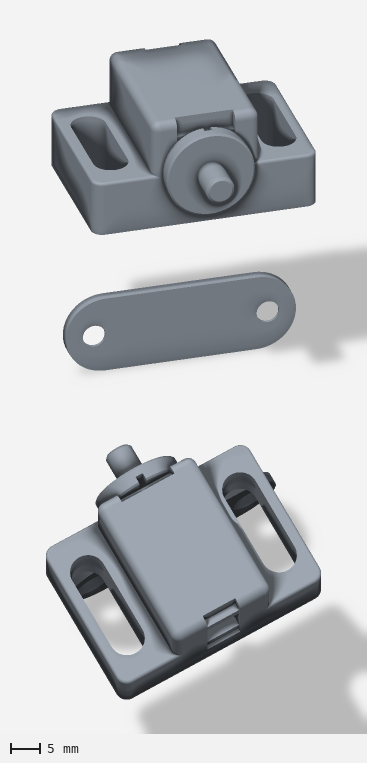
import cadquery as cq


HOUSING_LENGTH = 28.0
HOUSING_HEIGHT = 20.0
BASE_WIDTH = 40.0
BASE_HEIGHT = 10.0
BASE_CORNER_RADIUS = 2.0
BASE_TOP_FILLET = 0.5
TOWER_WIDTH = 19.0
TOWER_FILLET = 1.5

SLOT_LENGTH = 19.6
SLOT_DIAMETER = 6.15
SLOT_SPACING = 29.95

FRONT_WALL = 1.5
FRONT_NOTCH_WIDTH = 6.4
FRONT_NOTCH_DEPTH = 1.7
REAR_NOTCH_WIDTH = 10.35
REAR_NOTCH_DEPTH = 1.75
CAVITY_FLOOR = 4.85
BLOCK_BOTTOM = 5.9
BLOCK_TOP = 16.85
BLOCK_FRONT = 2.25
NECK_LENGTH = 0.6
BLOCK_REAR = HOUSING_LENGTH - NECK_LENGTH
BLOCK_WIDTH = REAR_NOTCH_WIDTH
POLE_FRONT = 0.35
POLE_THICKNESS = 1.95
POLE_WIDTH = FRONT_NOTCH_WIDTH

DISC_DIAMETER = 15.7
DISC_THICKNESS = 3.0
DISC_CHAMFER = 0.33
DISC_GROOVE = 1.4
ROD_DIAMETER = 5.0
ROD_LENGTH = 6.0
ROD_CHAMFER = 0.5
ROD_AXIS_HEIGHT = 10.5

PLATE_LENGTH = 41.0
PLATE_WIDTH = 14.0
PLATE_THICKNESS = 2.0
PLATE_CENTER_Y = -4.5
PLATE_BOTTOM = -26.5
PLATE_CENTER_Z = PLATE_BOTTOM + PLATE_WIDTH / 2
PLATE_HOLE_SPACING = 30.95
PLATE_HOLE_DIAMETER = 4.0
COUNTERSINK_DIAMETER = 7.0
COUNTERSINK_ANGLE = 90


def centered_box(x_start, x_end, width, z_bottom, z_top):
    """Box between two X and two Z limits, centred on Y = 0."""
    return cq.Workplane("XY").box(
        x_end - x_start, width, z_top - z_bottom, centered=(False, True, False)
    ).translate((x_start, 0, z_bottom))


def make_housing_shell():
    """Low base with a taller, rounded tower across its middle."""
    base = (
        centered_box(0, HOUSING_LENGTH, BASE_WIDTH, 0, BASE_HEIGHT)
        .edges("|Z")
        .fillet(BASE_CORNER_RADIUS)
        .faces(">Z")
        .edges()
        .fillet(BASE_TOP_FILLET)
    )
    tower = (
        centered_box(0, HOUSING_LENGTH, TOWER_WIDTH, 0, HOUSING_HEIGHT)
        .edges("|Z or >Z")
        .fillet(TOWER_FILLET)
    )
    return base.union(tower)


def make_mounting_slots():
    return (
        cq.Workplane("XY")
        .pushPoints([(HOUSING_LENGTH / 2, side * SLOT_SPACING / 2) for side in (-1, 1)])
        .slot2D(SLOT_LENGTH, SLOT_DIAMETER)
        .extrude(BASE_HEIGHT)
    )


def make_magnet_cavity():
    """Chamber for the block, with a notch in each end wall that is open to the top."""
    chamber = centered_box(FRONT_WALL, HOUSING_LENGTH, BLOCK_WIDTH, CAVITY_FLOOR, BLOCK_TOP)
    front_notch = centered_box(
        0, FRONT_NOTCH_DEPTH, FRONT_NOTCH_WIDTH, CAVITY_FLOOR, HOUSING_HEIGHT
    )
    rear_notch = centered_box(
        HOUSING_LENGTH - REAR_NOTCH_DEPTH, HOUSING_LENGTH, REAR_NOTCH_WIDTH, CAVITY_FLOOR, HOUSING_HEIGHT
    )
    return chamber.union(front_notch).union(rear_notch)


def make_housing():
    return make_housing_shell().cut(make_mounting_slots()).cut(make_magnet_cavity())


def make_magnet_block():
    """Wide block with two narrow pole tongues in front and a flat neck behind."""
    block = centered_box(BLOCK_FRONT, BLOCK_REAR, BLOCK_WIDTH, BLOCK_BOTTOM, BLOCK_TOP)
    for pole_bottom in (BLOCK_BOTTOM, BLOCK_TOP - POLE_THICKNESS):
        pole = centered_box(
            POLE_FRONT, BLOCK_FRONT, POLE_WIDTH, pole_bottom, pole_bottom + POLE_THICKNESS
        )
        block = block.union(pole)
    neck = centered_box(
        BLOCK_REAR, HOUSING_LENGTH, BLOCK_WIDTH,
        BLOCK_BOTTOM + POLE_THICKNESS, BLOCK_TOP - POLE_THICKNESS,
    )
    return block.union(neck)


def make_disc_and_rod():
    """Chamfered disc against the housing, grooved across its back, with a rod behind it."""
    disc_plane = cq.Workplane("YZ", origin=(HOUSING_LENGTH, 0, ROD_AXIS_HEIGHT))
    disc = disc_plane.circle(DISC_DIAMETER / 2).extrude(DISC_THICKNESS).edges().chamfer(DISC_CHAMFER)
    groove = disc_plane.rect(DISC_GROOVE, DISC_DIAMETER).extrude(DISC_GROOVE)
    rod = (
        disc_plane.workplane(offset=DISC_THICKNESS)
        .circle(ROD_DIAMETER / 2)
        .extrude(ROD_LENGTH)
        .faces(">X")
        .chamfer(ROD_CHAMFER)
    )
    return disc.cut(groove).union(rod)


def make_plunger():
    return make_magnet_block().union(make_disc_and_rod())


def make_strike_plate():
    """Round-ended plate with two holes countersunk from its -X face."""
    outer_plane = cq.Plane(
        origin=(HOUSING_LENGTH - PLATE_THICKNESS, PLATE_CENTER_Y, PLATE_CENTER_Z),
        xDir=(0, 1, 0),
        normal=(-1, 0, 0),
    )
    plate = cq.Workplane(outer_plane).slot2D(PLATE_LENGTH, PLATE_WIDTH).extrude(-PLATE_THICKNESS)
    return (
        plate.copyWorkplane(cq.Workplane(outer_plane))
        .pushPoints([(side * PLATE_HOLE_SPACING / 2, 0) for side in (-1, 1)])
        .cskHole(PLATE_HOLE_DIAMETER, COUNTERSINK_DIAMETER, COUNTERSINK_ANGLE)
    )


housing = make_housing()
plunger = make_plunger()
strike_plate = make_strike_plate()

bodies = [housing, plunger, strike_plate]
result = cq.Compound.makeCompound([body.solids().val() for body in bodies])